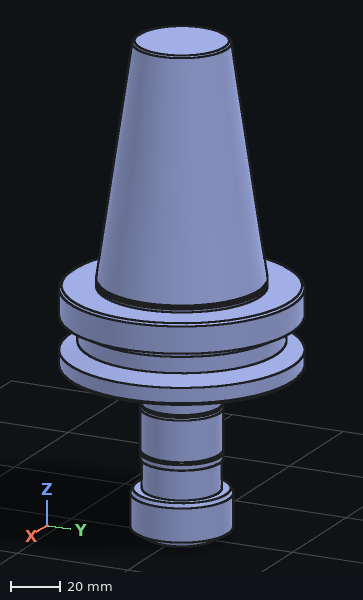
import cadquery as cq

total_height = 211.8

gauge_radius = 35.0
gauge_height = 110.0
taper_ratio = 7 / 24
tip_chamfer = 0.8
relief_radius = 34.3
relief_bevel = 0.6
relief_width = 0.5

flange_radius = 50.0
flange_top = 107.0
flange_bottom = 72.0
flange_chamfer = 1.0
groove_radius = 42.5
groove_floor_bottom = 83.5
groove_floor_top = 90.5
groove_flank_height = 3.8

shank_radius = 17.0
shank_root_flare = 0.8
shank_root_height = 1.3
parting_groove_height = 56.0
parting_groove_width = 0.6
parting_groove_depth = 2.5
shank_edge_chamfer = 0.8
line_groove_height = 36.2
line_groove_width = 1.0
line_groove_depth = 0.5
collar_bottom = 33.3
lower_neck_radius = 16.3

nut_radius = 21.0
nut_top = 20.3
nut_top_chamfer_height = 2.0
nut_top_chamfer_width = 1.0
nut_nose_radius = 14.6
nut_nose_height = 3.8


def turned(points):
    """Revolve (radius, height) outline points about the Z axis."""
    outline = [(0, points[0][1])] + points + [(0, points[-1][1])]
    return cq.Workplane("XZ").polyline(outline).close().revolve(360, (0, 0, 0), (0, 1, 0))


def ring_groove(radius, depth, height, width):
    """Square groove cutter centred on a height."""
    cutter = cq.Workplane("XY").workplane(offset=height - width / 2)
    return cutter.circle(radius + depth).circle(radius - depth).extrude(width)


def taper():
    tip_radius = gauge_radius - (total_height - gauge_height) * taper_ratio / 2
    shoulder_radius = tip_radius + tip_chamfer * taper_ratio / 2
    relief_top = gauge_height - relief_bevel
    relief_bottom = relief_top - relief_width
    return turned([
        (gauge_radius, flange_top),
        (gauge_radius, relief_bottom - relief_bevel),
        (relief_radius, relief_bottom),
        (relief_radius, relief_top),
        (gauge_radius, gauge_height),
        (shoulder_radius, total_height - tip_chamfer),
        (tip_radius - tip_chamfer, total_height),
    ])


def flange():
    disc = turned([
        (flange_radius, flange_bottom),
        (flange_radius, groove_floor_bottom - groove_flank_height),
        (groove_radius, groove_floor_bottom),
        (groove_radius, groove_floor_top),
        (flange_radius, groove_floor_top + groove_flank_height),
        (flange_radius, flange_top),
    ])
    return disc.faces("<Z or >Z").edges().chamfer(flange_chamfer)


def shank():
    half_width = parting_groove_width / 2
    lower_edge = parting_groove_height - half_width
    upper_edge = parting_groove_height + half_width
    edge_radius = shank_radius - shank_edge_chamfer
    floor_radius = shank_radius - parting_groove_depth
    body = turned([
        (lower_neck_radius, nut_top),
        (lower_neck_radius, collar_bottom),
        (shank_radius, collar_bottom),
        (shank_radius, lower_edge - shank_edge_chamfer),
        (edge_radius, lower_edge),
        (floor_radius, lower_edge),
        (floor_radius, upper_edge),
        (edge_radius, upper_edge),
        (shank_radius, upper_edge + shank_edge_chamfer),
        (shank_radius, flange_bottom - shank_root_height),
        (shank_radius + shank_root_flare, flange_bottom),
    ])
    return body.cut(ring_groove(shank_radius, line_groove_depth, line_groove_height, line_groove_width))


def nut():
    return turned([
        (nut_nose_radius, 0),
        (nut_radius, nut_nose_height),
        (nut_radius, nut_top - nut_top_chamfer_height),
        (nut_radius - nut_top_chamfer_width, nut_top),
    ])


result = nut().union(shank()).union(flange()).union(taper())